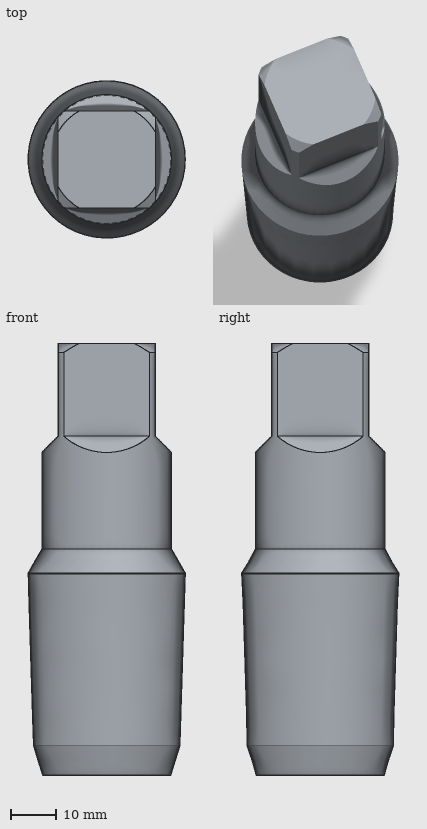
import cadquery as cq

total_height = 95.3
max_diameter = 34.7

taper_top_z = 44.4
rim_height = 0.2
taper_per_length = 1 / 16
lead_height = 6.6
lead_end_radius = 14.1

shank_radius = 14.3
shoulder_top_z = 49.9
square_width = 21.4
square_bottom_z = 74.8
corner_chamfer = 2.0

max_radius = max_diameter / 2
lead_start_radius = max_radius - (taper_top_z - lead_height) * taper_per_length / 2
runout = shank_radius - square_width / 2


def revolve_profile(points):
    """Turn a closed (radius, z) outline about the Z axis."""
    return cq.Workplane("XZ").polyline(points).close().revolve(360, (0, 0), (0, 1))


def make_tapered_body():
    """Solid pipe taper with a steeper lead-in at its lower end."""
    return revolve_profile([
        (0, 0),
        (lead_end_radius, 0),
        (lead_start_radius, lead_height),
        (max_radius, taper_top_z),
        (0, taper_top_z),
    ])


def make_round_shank():
    """Conical shoulder and round shank, with its top rim chamfered."""
    return revolve_profile([
        (0, taper_top_z),
        (max_radius, taper_top_z),
        (max_radius, taper_top_z + rim_height),
        (shank_radius, shoulder_top_z),
        (shank_radius, total_height - corner_chamfer),
        (shank_radius - corner_chamfer, total_height),
        (0, total_height),
    ])


def make_square_envelope():
    """Square drive that widens at 45 degrees to a base enclosing the round shank."""
    base_width = square_width + 2 * runout
    runout_bottom_z = square_bottom_z - runout
    base = (
        cq.Workplane("XY")
        .workplane(offset=taper_top_z)
        .rect(2 * max_radius, 2 * max_radius)
        .extrude(runout_bottom_z - taper_top_z)
    )
    widening = (
        cq.Workplane("XY")
        .workplane(offset=runout_bottom_z)
        .rect(base_width, base_width)
        .workplane(offset=runout)
        .rect(square_width, square_width)
        .loft(ruled=True)
    )
    drive = (
        cq.Workplane("XY")
        .workplane(offset=square_bottom_z)
        .rect(square_width, square_width)
        .extrude(total_height - square_bottom_z)
    )
    return base.union(widening).union(drive)


def make_shank():
    """Round shank cut to a square drive at its upper end."""
    return make_round_shank().intersect(make_square_envelope())


tapered_body = make_tapered_body()
shank = make_shank()

result = cq.Compound.makeCompound([tapered_body.val(), *shank.solids().vals()])